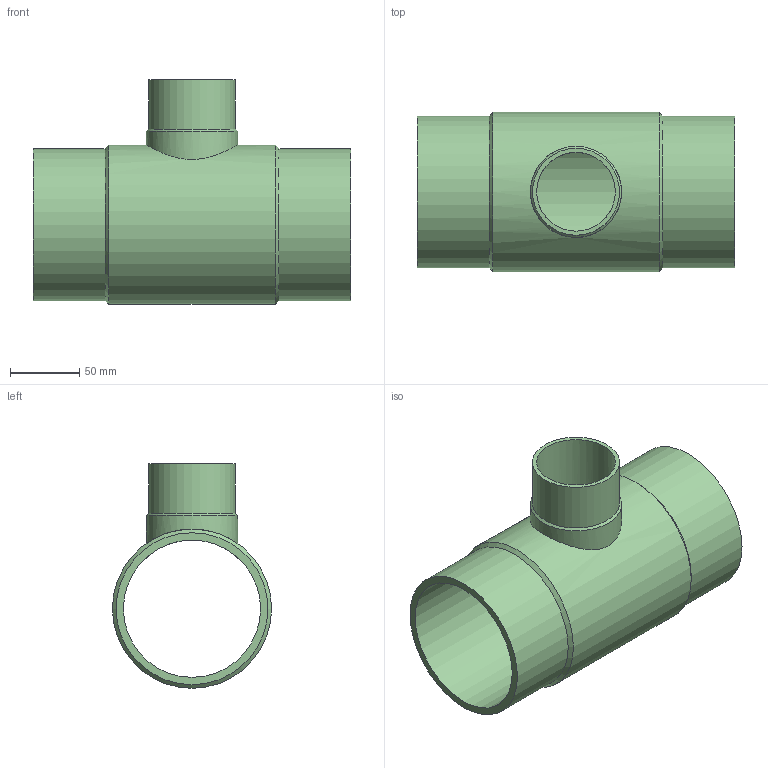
import cadquery as cq

pipe_length = 230.0
pipe_diameter = 110.0
bore_diameter = 99.4

sleeve_length = 126.0
sleeve_diameter = 115.3
sleeve_chamfer = (sleeve_diameter - pipe_diameter) / 2

branch_height = 105.0
branch_diameter = 63.0
branch_bore_diameter = 57.0

collar_height = 69
collar_diameter = 66.0
collar_chamfer = (collar_diameter - branch_diameter) / 2


def cylinder_along_x(diameter, length):
    """Cylinder on the X axis, centred on the origin."""
    return cq.Workplane("YZ", origin=(-length / 2, 0, 0)).circle(diameter / 2).extrude(length)


def cylinder_up(diameter, height):
    """Cylinder rising along Z from the main axis."""
    return cq.Workplane("XY").circle(diameter / 2).extrude(height)


def main_body():
    """Main pipe with its chamfered sleeve, still solid."""
    pipe = cylinder_along_x(pipe_diameter, pipe_length)
    sleeve = cylinder_along_x(sleeve_diameter, sleeve_length)
    sleeve = sleeve.faces("<X or >X").chamfer(sleeve_chamfer)
    return pipe.union(sleeve)


def branch():
    """Branch pipe with its chamfered collar, still solid."""
    pipe = cylinder_up(branch_diameter, branch_height)
    collar = cylinder_up(collar_diameter, collar_height)
    collar = collar.faces(">Z").chamfer(collar_chamfer)
    return pipe.union(collar)


main_bore = cylinder_along_x(bore_diameter, pipe_length)
branch_bore = cylinder_up(branch_bore_diameter, branch_height)

result = main_body().union(branch()).cut(main_bore).cut(branch_bore)